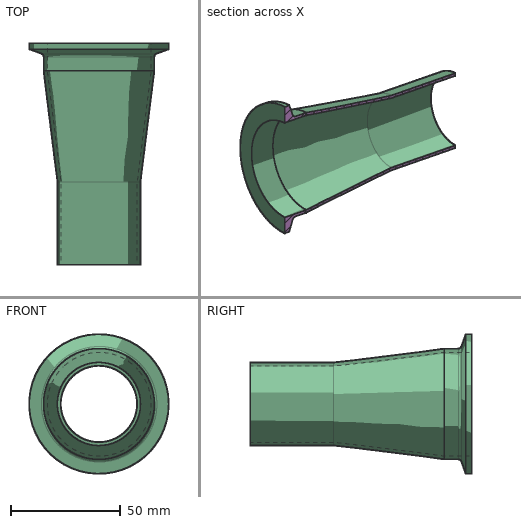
import cadquery as cq
import math

large_radius = 50.8 / 2
small_radius = 38.1 / 2
wall = 1.6

flange_radius = 64.0 / 2
rim_width = 2.8
flange_slope = 20.0
neck_fillet = 1.6
ferrule_length = 12.7

overall_length = 101.6
cone_end = 63.5


def revolve_about_y(profile):
    """Turn a closed profile, drawn as (radius, Y), around the Y axis."""
    return profile.close().revolve(360, (0, 0), (0, 1))


def make_ferrule():
    """Clamp ferrule with its sealing face at Y = 0 and its neck toward -Y."""
    slope = math.radians(flange_slope)

    fillet_center_radius = large_radius + neck_fillet
    slope_end_radius = fillet_center_radius - neck_fillet * math.sin(slope)
    slope_end = rim_width + (flange_radius - slope_end_radius) * math.tan(slope)
    fillet_end = slope_end + neck_fillet * math.cos(slope)

    middle_angle = (math.pi / 2 - slope) / 2
    fillet_middle_radius = fillet_center_radius - neck_fillet * math.cos(middle_angle)
    fillet_middle = fillet_end - neck_fillet * math.sin(middle_angle)

    bore_radius = large_radius - wall
    profile = (
        cq.Workplane("XY")
        .moveTo(bore_radius, 0)
        .lineTo(flange_radius, 0)
        .lineTo(flange_radius, -rim_width)
        .lineTo(slope_end_radius, -slope_end)
        .threePointArc((fillet_middle_radius, -fillet_middle), (large_radius, -fillet_end))
        .lineTo(large_radius, -ferrule_length)
        .lineTo(bore_radius, -ferrule_length)
    )
    return revolve_about_y(profile)


def make_reducer():
    """Thin-walled cone and tube that butt against the end of the ferrule neck."""
    profile = (
        cq.Workplane("XY")
        .moveTo(large_radius - wall, -ferrule_length)
        .lineTo(large_radius, -ferrule_length)
        .lineTo(small_radius, -cone_end)
        .lineTo(small_radius, -overall_length)
        .lineTo(small_radius - wall, -overall_length)
        .lineTo(small_radius - wall, -cone_end)
    )
    return revolve_about_y(profile)


ferrule = make_ferrule()
reducer = make_reducer()

result = cq.Compound.makeCompound([ferrule.val(), reducer.val()])